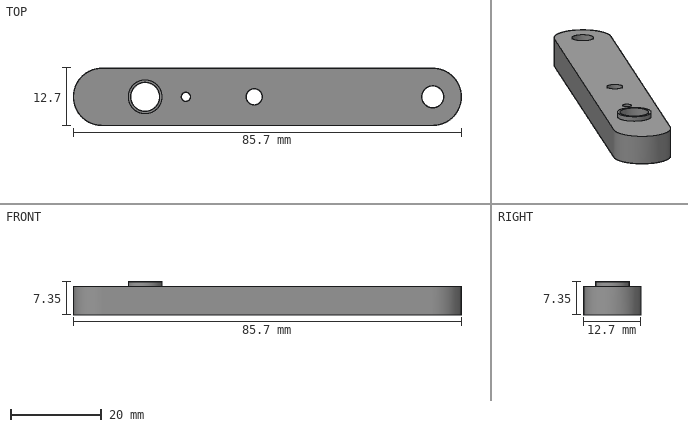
import cadquery as cq

length = 85.7
width = 12.7
thickness = 6.35
end_center = (length - width) / 2

bushing_x = -27.0
bushing_diameter = 7.5
bushing_height = 1.0
bore_diameter = 6.35

plain_holes = [
    (-18.0, 2.0),
    (-2.9, 3.5),
    (end_center, 4.8),
]


def cylinder(x, diameter, height):
    """Upright cylinder on the centre line, standing on the bar's bottom face."""
    return cq.Workplane("XY").center(x, 0).circle(diameter / 2).extrude(height)


total_height = thickness + bushing_height

bar = cq.Workplane("XY").slot2D(length, width).extrude(thickness)
result = bar.union(cylinder(bushing_x, bushing_diameter, total_height))

for x, diameter in [(bushing_x, bore_diameter)] + plain_holes:
    result = result.cut(cylinder(x, diameter, total_height))